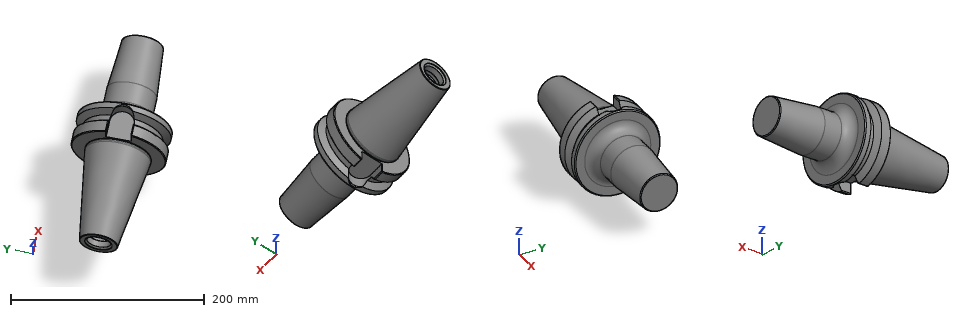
import cadquery as cq
import math

taper_length = 101.8
projection = 130.0
small_end = -taper_length
nose_end = projection
flange_back = 3.0
flange_front = 38.0

gauge_diameter = 69.85
gauge_radius = gauge_diameter / 2
taper_slope = 7 / 48
shank_end_radius = gauge_radius - taper_slope * taper_length
shank_end_chamfer = 0.6
taper_top = -1.0
collar_radius = 35.0
collar_start = 0.4
collar_end = 1.8
relief_start = 2.5
relief_radius = 34.3

flange_radius = 50.0
flange_back_chamfer = 0.9
flange_front_chamfer = 1.3
groove_radius = 42.3
groove_floor_start = 20.1
groove_floor_end = 26.1
groove_wall_angle = 30.0
groove_wall_run = (flange_radius - groove_radius) * math.tan(math.radians(groove_wall_angle))

neck_radius = 26.5
neck_blend_radius = 12.0
nose_taper_start = 72.8
nose_end_radius = 22.0
nose_end_chamfer = 1.0
neck_blend_end = flange_front + neck_blend_radius

slot_width = 25.7
slot_half_width = slot_width / 2
slot_floor_height = 35.4
slot_end = 34.4
slot_arc_centre = slot_end - slot_half_width
slot_edge_chamfer = 1.4
slot_mouth_chamfer = 0.7
slot_end_bevel = 1.2

bore_mouth_radius = 14.4
bore_mouth_depth = 0.7
pilot_radius = 12.5
pilot_start = 2.3
pilot_end = 9.0
thread_radius = 12.0
thread_core_radius = 10.375
thread_lead_in = 12.5
thread_core_start = thread_lead_in + thread_radius - thread_core_radius
bore_depth = 45.0
drill_point_angle = 118.0
drill_point_length = thread_core_radius / math.tan(math.radians(drill_point_angle / 2))


def make_body():
    """Solid of revolution about X: taper, grooved flange, neck and nose."""
    taper_start_radius = shank_end_radius + taper_slope * shank_end_chamfer
    taper_top_radius = gauge_radius + taper_slope * taper_top
    nose_slope = (neck_radius - nose_end_radius) / (nose_end - nose_taper_start)
    blend_mid = neck_blend_radius * math.sqrt(0.5)
    blend_centre_height = neck_radius + neck_blend_radius
    profile = (
        cq.Workplane("XY")
        .moveTo(small_end, 0)
        .lineTo(small_end, shank_end_radius - shank_end_chamfer)
        .lineTo(small_end + shank_end_chamfer, taper_start_radius)
        .lineTo(taper_top, taper_top_radius)
        .lineTo(collar_start, collar_radius)
        .lineTo(collar_end, collar_radius)
        .lineTo(relief_start, relief_radius)
        .lineTo(flange_back, relief_radius)
        .lineTo(flange_back, flange_radius - flange_back_chamfer)
        .lineTo(flange_back + flange_back_chamfer, flange_radius)
        .lineTo(groove_floor_start - groove_wall_run, flange_radius)
        .lineTo(groove_floor_start, groove_radius)
        .lineTo(groove_floor_end, groove_radius)
        .lineTo(groove_floor_end + groove_wall_run, flange_radius)
        .lineTo(flange_front - flange_front_chamfer, flange_radius)
        .lineTo(flange_front, flange_radius - flange_front_chamfer)
        .lineTo(flange_front, blend_centre_height)
        .threePointArc(
            (neck_blend_end - blend_mid, blend_centre_height - blend_mid),
            (neck_blend_end, neck_radius),
        )
        .lineTo(nose_taper_start, neck_radius)
        .lineTo(nose_end - nose_end_chamfer, nose_end_radius + nose_slope * nose_end_chamfer)
        .lineTo(nose_end, nose_end_radius - nose_end_chamfer)
        .lineTo(nose_end, 0)
        .close()
    )
    return profile.revolve(360, (0, 0, 0), (1, 0, 0))


def make_bore():
    """Drawbar hole with mouth recess, lead-in cone, pilot, thread bore and drill point."""
    bore = (
        cq.Workplane("XY")
        .moveTo(0, 0)
        .lineTo(0, bore_mouth_radius)
        .lineTo(bore_mouth_depth, bore_mouth_radius)
        .lineTo(pilot_start, pilot_radius)
        .lineTo(pilot_end, pilot_radius)
        .lineTo(pilot_end, thread_radius)
        .lineTo(thread_lead_in, thread_radius)
        .lineTo(thread_core_start, thread_core_radius)
        .lineTo(bore_depth, thread_core_radius)
        .lineTo(bore_depth + drill_point_length, 0)
        .close()
    )
    return bore.revolve(360, (0, 0, 0), (1, 0, 0)).translate((small_end, 0, 0))


def make_slot():
    """Round-ended drive slot on the +Z side, open to the rear face of the flange."""
    return (
        cq.Workplane("XY")
        .workplane(offset=slot_floor_height)
        .moveTo(flange_back, -slot_half_width)
        .lineTo(slot_arc_centre, -slot_half_width)
        .threePointArc((slot_end, 0), (slot_arc_centre, slot_half_width))
        .lineTo(flange_back, slot_half_width)
        .close()
        .extrude(flange_radius - slot_floor_height)
    )


def make_slot_end_bevel():
    """Bevel around the rounded slot end, widening by its own depth up to the flange rim."""
    return (
        cq.Workplane("XY")
        .workplane(offset=flange_radius - slot_end_bevel)
        .center(slot_arc_centre, 0)
        .circle(slot_half_width)
        .workplane(offset=slot_end_bevel)
        .circle(slot_half_width + slot_end_bevel)
        .loft()
    )


def make_slot_mouth_chamfers():
    """Cutter that bevels the two upright edges where the slot opens to the rear face."""
    return (
        cq.Workplane("XY")
        .workplane(offset=slot_floor_height)
        .moveTo(flange_back, -slot_half_width - slot_mouth_chamfer)
        .lineTo(flange_back + slot_mouth_chamfer, -slot_half_width)
        .lineTo(flange_back + slot_mouth_chamfer, slot_half_width)
        .lineTo(flange_back, slot_half_width + slot_mouth_chamfer)
        .close()
        .extrude(flange_radius - slot_floor_height)
    )


def make_slot_edge_chamfers():
    """Flared cutter that bevels both long edges of the slot on the rear ring."""
    corner_height = math.sqrt(flange_radius**2 - slot_half_width ** 2)
    outer = slot_half_width + 2 * slot_edge_chamfer
    bottom = corner_height - slot_edge_chamfer
    top = bottom + 2 * slot_edge_chamfer
    return (
        cq.Workplane("YZ")
        .workplane(offset=flange_back)
        .polyline([(-slot_half_width, bottom), (slot_half_width, bottom), (outer, top), (-outer, top)])
        .close()
        .extrude(groove_floor_start - flange_back)
    )


slot_cutter = (
    make_slot()
    .union(make_slot_end_bevel())
    .union(make_slot_mouth_chamfers())
    .union(make_slot_edge_chamfers())
)
result = make_body().cut(make_bore())
for angle in (0, 180):
    result = result.cut(slot_cutter.rotate((0, 0, 0), (1, 0, 0), angle))